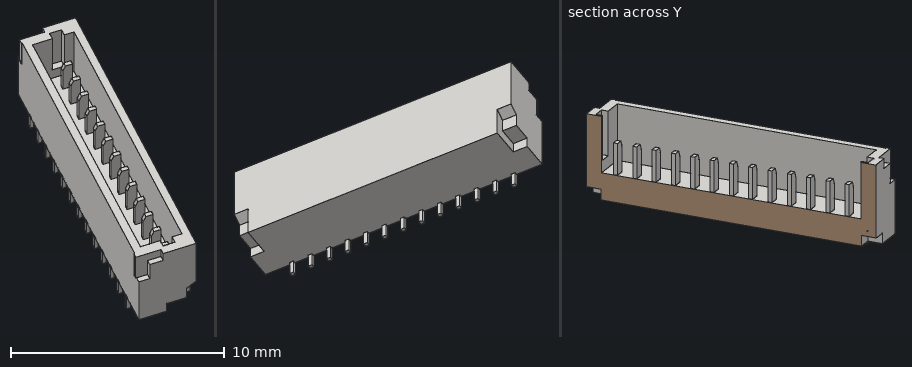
import cadquery as cq


housing_length = 15.0
housing_depth = 2.91
housing_height = 4.25
back_y = housing_depth / 2
front_y = -back_y

side_wall = 0.4
end_wall = 0.8
cavity_depth = 2.85
cavity_length = housing_length - 2 * end_wall
cavity_width = housing_depth - 2 * side_wall
floor_z = housing_height - cavity_depth

slot_reach = 0.35
slot_depth = 2.25
slot_width = 0.6
slot_from_back = 0.9

notch_inset = 0.27
notch_upper_depth = 0.5
notch_lower_depth = 1.5
notch_upper_from_back = 1.68
notch_lower_from_back = 2.35

strip_width = 0.24
front_projection = 0.05

recess_inset = 0.75
recess_upper_width = 0.5
recess_lower_width = 1.5
recess_slope_start_z = 1.52
recess_slope_end_z = 1.22
recess_step_z = 0.54

contact_count = 13
contact_pitch = 3 / 3
contact_width = 0.21
contact_from_back = 0.81
contact_tip_thickness = 0.36
contact_root_thickness = 0.5
contact_top_z = 3.0
contact_slope_z = 2.7
leg_thickness = 0.2
leg_below_housing = 0.7
leg_above_base = 0.09


def box(x_range, y_range, z_range):
    """Axis-aligned block between three pairs of limits."""
    size = [high - low for low, high in (x_range, y_range, z_range)]
    corner = (x_range[0], y_range[0], z_range[0])
    return cq.Workplane("XY").box(*size, centered=False).translate(corner)


def side_profile(points, x_start, width):
    """Outline of (y, z) points extruded along +X from x_start."""
    return cq.Workplane("YZ", origin=(x_start, 0, 0)).polyline(points).close().extrude(width)


def on_both_ends(left_solid):
    """The given left-end solid together with its mirror image at the right end."""
    return left_solid.union(left_solid.mirror("YZ"))


def make_cavity():
    half_length = cavity_length / 2
    z_range = (floor_z, housing_height)
    slot_z_range = (housing_height - slot_depth, housing_height)
    main = box((-half_length, half_length), (-cavity_width / 2, cavity_width / 2), z_range)
    slot_back_y = back_y - slot_from_back
    slot_half_length = half_length + slot_reach
    slots = box((-slot_half_length, slot_half_length), (slot_back_y - slot_width, slot_back_y), slot_z_range)
    return main.union(slots)


def make_end_notches():
    upper_y = back_y - notch_upper_from_back
    lower_y = back_y - notch_lower_from_back
    upper_z = housing_height - notch_upper_depth
    lower_z = housing_height - notch_lower_depth
    outline = [
        (upper_y, housing_height),
        (upper_y, upper_z),
        (lower_y, upper_z),
        (lower_y, lower_z),
        (front_y, lower_z),
        (front_y, housing_height),
    ]
    return on_both_ends(side_profile(outline, -housing_length / 2, notch_inset))


def make_end_recesses():
    upper_y = back_y - recess_upper_width
    lower_y = back_y - recess_lower_width
    outline = [
        (back_y, 0),
        (back_y, recess_slope_start_z),
        (upper_y, recess_slope_end_z),
        (upper_y, recess_step_z),
        (lower_y, recess_step_z),
        (lower_y, 0),
    ]
    return on_both_ends(side_profile(outline, -housing_length / 2, recess_inset))


def make_front_strips():
    strip_x = -housing_length / 2 + notch_inset
    return on_both_ends(
        box(
            (strip_x, strip_x + strip_width),
            (front_y - front_projection, front_y + side_wall / 2),
            (housing_height - notch_lower_depth, housing_height),
        )
    )


def make_contact(x_center):
    x_start = x_center - contact_width / 2
    blade_back_y = back_y - contact_from_back
    tip_front_y = blade_back_y - contact_tip_thickness
    root_front_y = blade_back_y - contact_root_thickness
    root_z = floor_z / 2
    blade_outline = [
        (blade_back_y, root_z),
        (blade_back_y, contact_top_z),
        (tip_front_y, contact_top_z),
        (root_front_y, contact_slope_z),
        (root_front_y, root_z),
    ]
    blade = side_profile(blade_outline, x_start, contact_width)
    leg_front_y = front_y - front_projection
    leg = box(
        (x_start, x_start + contact_width),
        (leg_front_y, leg_front_y + leg_thickness),
        (-leg_below_housing, leg_above_base),
    )
    return blade, leg


housing_envelope = box(
    (-housing_length / 2, housing_length / 2),
    (front_y, back_y),
    (0, housing_height),
)
result = housing_envelope.cut(make_cavity()).cut(make_end_notches()).cut(make_end_recesses())
result = result.union(make_front_strips())

for index in range(contact_count):
    contact_x = (index - (contact_count - 1) / 2) * contact_pitch
    contact_blade, contact_leg = make_contact(contact_x)
    result = result.union(contact_blade).union(contact_leg)